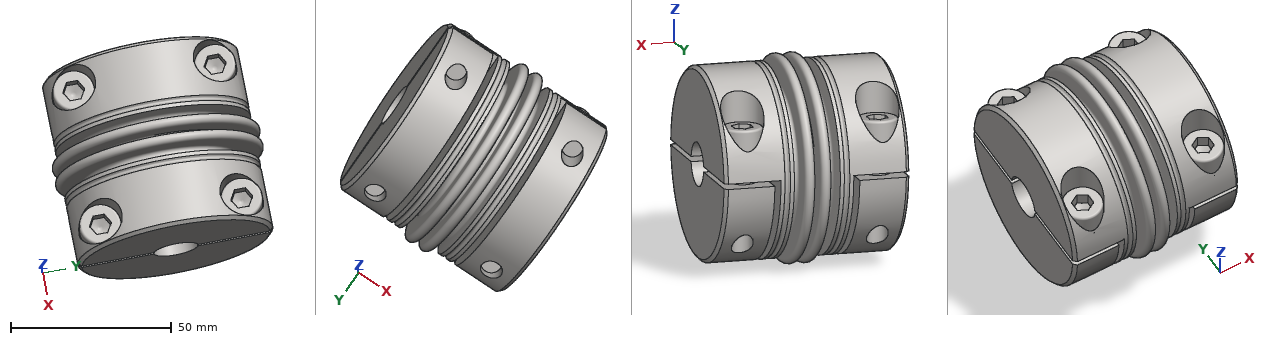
import cadquery as cq
import math


half_length = 30.0
hub_radius = 62.0 / 2
bore_radius = 14.0 / 2
end_chamfer = 1.1
hub_inner_x = 7.45

groove_x = 9.65
groove_half_width = 0.89
groove_bottom_radius = 0.56

crest_radius = 33.0
crest_round = 1.6
crest_x = 2.61
valley_radius = 24.3
flange_radius = 61.6 / 2
flank_foot_x = 7.0
flank_foot_radius = 25.95

split_width = 1.7
relief_inner_x = 11.8
relief_width = 2.0

screw_x = 21.9
screw_y = 22.45
head_diameter = 13.0
head_height = 8.0
head_top_z = 16.95
head_round = 0.8
shank_diameter = 8.0
shank_length = 20.0
counterbore_diameter = 13.5
tapped_hole_diameter = 6.8
socket_across_flats = 6.0
socket_depth = 4.0
socket_point_angle = 120.0

seat_z = head_top_z - head_height
half_split = split_width / 2


def revolved_half():
    """Hub, groove and half of the bellows, with the bore, turned about X."""
    crest_inner_x = crest_x - crest_round
    crest_outer_x = crest_x + crest_round
    crest_base = crest_radius - crest_round
    valley_round = crest_inner_x
    valley_base = valley_radius + valley_round
    end_valley_x = 2 * crest_x
    diagonal = math.sqrt(0.5)

    groove_tangent_dx = groove_bottom_radius * diagonal
    groove_tangent_r = hub_radius - groove_half_width + groove_tangent_dx
    groove_bottom_r = hub_radius - groove_half_width + groove_bottom_radius * (math.sqrt(2) - 1)

    profile = (
        cq.Workplane("XY")
        .moveTo(0, bore_radius)
        .lineTo(0, valley_radius)
        .threePointArc(
            (-valley_round * diagonal, valley_base - valley_round * diagonal),
            (-crest_inner_x, valley_base),
        )
        .lineTo(-crest_inner_x, crest_base)
        .threePointArc((-crest_x, crest_radius), (-crest_outer_x, crest_base))
        .lineTo(-crest_outer_x, valley_base)
        .threePointArc(
            (-end_valley_x + valley_round * diagonal, valley_base - valley_round * diagonal),
            (-end_valley_x, valley_radius),
        )
        .tangentArcPoint((-flank_foot_x, flank_foot_radius), relative=False)
        .lineTo(-hub_inner_x, flange_radius)
        .lineTo(-hub_inner_x, hub_radius)
        .lineTo(-groove_x + groove_half_width, hub_radius)
        .lineTo(-groove_x + groove_tangent_dx, groove_tangent_r)
        .threePointArc((-groove_x, groove_bottom_r), (-groove_x - groove_tangent_dx, groove_tangent_r))
        .lineTo(-groove_x - groove_half_width, hub_radius)
        .lineTo(-half_length + end_chamfer, hub_radius)
        .lineTo(-half_length, hub_radius - end_chamfer)
        .lineTo(-half_length, bore_radius)
        .close()
    )
    return profile.revolve(360, (0, 0, 0), (1, 0, 0))


def clamp_slots():
    """Horizontal split to the hub end, and the relief slot that frees the lower clamp half."""
    full_width = 2 * crest_radius
    split = cq.Workplane("XY").box(
        half_length - relief_inner_x, full_width, split_width, centered=(False, True, True)
    ).translate((-half_length, 0, 0))
    relief = cq.Workplane("XY").box(
        relief_width, full_width, crest_radius, centered=(False, True, False)
    ).translate((-relief_inner_x - relief_width, 0, half_split - crest_radius))
    return split.union(relief)


def cylinder_along_z(diameter, bottom_z, top_z):
    """Upright cylinder on the Z axis between two heights."""
    return cq.Workplane("XY").workplane(offset=bottom_z).circle(diameter / 2).extrude(top_z - bottom_z)


def hex_socket():
    """Hexagonal recess that ends in a drill point, hanging below the screw's head top."""
    corner_radius = socket_across_flats / math.sqrt(3)
    point_depth = corner_radius / math.tan(math.radians(socket_point_angle / 2))
    drilled_core = (
        cq.Workplane("XZ")
        .polyline([
            (0, head_top_z),
            (corner_radius, head_top_z),
            (corner_radius, head_top_z - socket_depth),
            (0, head_top_z - socket_depth - point_depth),
        ])
        .close()
        .revolve(360, (0, 0, 0), (0, 1, 0))
    )
    hexagon = (
        cq.Workplane("XY")
        .workplane(offset=head_top_z)
        .transformed(rotate=(0, 0, 90))
        .polygon(6, 2 * corner_radius)
        .extrude(-socket_depth - point_depth)
    )
    return hexagon.intersect(drilled_core)


def clamp_screw():
    """Socket head cap screw standing on the Z axis."""
    head = cylinder_along_z(head_diameter, seat_z, head_top_z).faces(">Z").edges().fillet(head_round)
    shank = cylinder_along_z(shank_diameter, seat_z - shank_length, seat_z)
    return head.union(shank).cut(hex_socket())


def screw_hole():
    """Counterbore above the head seat and tapped hole through the lower clamp half."""
    counterbore = cylinder_along_z(counterbore_diameter, seat_z, crest_radius)
    tapped_hole = cylinder_along_z(tapped_hole_diameter, -crest_radius, -half_split)
    return counterbore.union(tapped_hole)


half = revolved_half().cut(clamp_slots())
for y in (-screw_y, screw_y):
    position = (-screw_x, y, 0)
    half = half.cut(screw_hole().translate(position))
    half = half.union(clamp_screw().translate(position))

result = half.union(half.rotate((0, 0, 0), (0, 0, 1), 180))